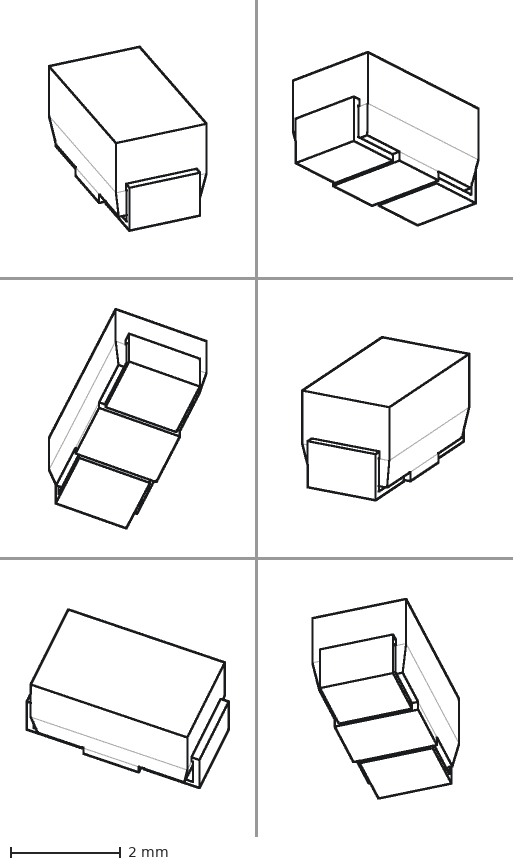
import cadquery as cq

LENGTH = 3.4
WIDTH = 1.8
HEIGHT = 1.8

HOUSING_LENGTH = 3.085
SHOULDER_Z = 0.758
UNDERSIDE_Z = 0.18
TAPER_INSET = 0.1
STANDOFF_LENGTH = 1.09

LEAD_WIDTH = 1.4
LEAD_HEIGHT = 0.9
LEAD_THICKNESS = 0.13
LEAD_FOOT_LENGTH = 1.09
LEAD_TAB_LENGTH = (LENGTH - HOUSING_LENGTH) / 2


def make_housing():
    """Housing with its widest section at the shoulder, resting on a standoff."""
    underside_length = HOUSING_LENGTH - 2 * TAPER_INSET
    underside_width = WIDTH - 2 * TAPER_INSET
    upper = (
        cq.Workplane("XY", origin=(0, 0, SHOULDER_Z))
        .rect(HOUSING_LENGTH, WIDTH)
        .extrude(HEIGHT - SHOULDER_Z)
    )
    lower = (
        cq.Workplane("XY", origin=(0, 0, UNDERSIDE_Z))
        .rect(underside_length, underside_width)
        .workplane(offset=SHOULDER_Z - UNDERSIDE_Z)
        .rect(HOUSING_LENGTH, WIDTH)
        .loft(ruled=True)
    )
    standoff = cq.Workplane("XY").rect(STANDOFF_LENGTH, underside_width).extrude(UNDERSIDE_Z)
    return upper.union(lower).union(standoff)


def make_lead(side):
    """C-shaped lead at the -X end (side = -1) or the +X end (side = 1)."""
    outer_x = LENGTH / 2
    wall_x = outer_x - LEAD_THICKNESS
    tab_x = outer_x - LEAD_TAB_LENGTH
    foot_x = outer_x - LEAD_FOOT_LENGTH
    tab_z = LEAD_HEIGHT - LEAD_THICKNESS
    profile = [
        (foot_x, 0),
        (outer_x, 0),
        (outer_x, LEAD_HEIGHT),
        (tab_x, LEAD_HEIGHT),
        (tab_x, tab_z),
        (wall_x, tab_z),
        (wall_x, LEAD_THICKNESS),
        (foot_x, LEAD_THICKNESS),
    ]
    return (
        cq.Workplane("XZ")
        .polyline([(side * x, z) for x, z in profile])
        .close()
        .extrude(LEAD_WIDTH / 2, both=True)
    )


housing = make_housing()
leads = [make_lead(side) for side in (-1, 1)]

result = cq.Compound.makeCompound([housing.val(), *[lead.val() for lead in leads]])